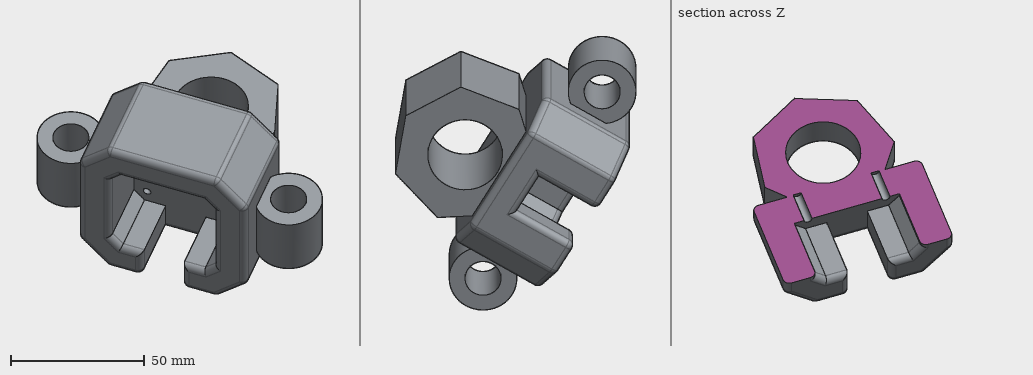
import cadquery as cq
import math

body_size = 67.0
body_depth = 38.0
body_corner = 11.7
edge_radius = 2.6
tolerance = 0.0001

pocket_size = 41.5
pocket_corner = 4.3
pocket_depth = 25.5
slot_width = 16.1

screw_diameter = 3.0
screw_spacing = 31.0

lug_diameter = 25.4
lug_height = 25.4
lug_bore = 13.5
lug_span = 112.5
lug_center_z = -1.1

clamp_sides = 7
clamp_radius = 27.2
clamp_first_angle = -60.0
clamp_height = 38.1
clamp_bore = 28.0
clamp_offset = 14.9
clamp_center_z = -8.7

front_y = -body_depth / 2
rear_y = body_depth / 2
floor_y = front_y + pocket_depth


def cut_corner_block(size, corner, depth):
    """Square block with four cut corners, running from the front face towards +Y."""
    block = cq.Workplane("XY").box(size, depth, size).edges("|Y").chamfer(corner)
    return block.translate((0, front_y + depth / 2, 0))


def upright_cylinder(diameter, height, x, y, z):
    """Cylinder along Z, centred on the given point."""
    return cq.Workplane("XY", origin=(x, y, z - height / 2)).circle(diameter / 2).extrude(height)


def make_housing():
    block = cut_corner_block(body_size, body_corner, body_depth)
    pocket = cut_corner_block(pocket_size, pocket_corner, pocket_depth)
    slot = (
        cq.Workplane("XY")
        .box(slot_width, pocket_depth, body_size / 2, centered=(True, False, False))
        .translate((0, front_y, -body_size / 2))
    )
    opened = block.cut(pocket).cut(slot)

    ridge_centers = [ridge.Center() for ridge in block.edges("|Y").vals()]

    def is_outer(edge):
        center = edge.Center()
        on_end = any(abs(center.y - y) < tolerance for y in (front_y, rear_y))
        on_bottom = abs(center.z + body_size / 2) < tolerance
        on_ridge = any((center - ridge).Length < tolerance for ridge in ridge_centers)
        return on_end or on_bottom or on_ridge

    outer_edges = [edge for edge in opened.edges().vals() if is_outer(edge)]
    rounded = opened.newObject(outer_edges).fillet(edge_radius)

    screws = (
        cq.Workplane("XZ", origin=(0, floor_y, 0))
        .rect(screw_spacing, screw_spacing, forConstruction=True)
        .vertices()
        .circle(screw_diameter / 2)
        .extrude(-(rear_y - floor_y))
    )
    return rounded.cut(screws)


def make_lug(side):
    x = side * (lug_span - lug_diameter) / 2
    lug = upright_cylinder(lug_diameter, lug_height, x, 0, lug_center_z)
    return lug.cut(upright_cylinder(lug_bore, lug_height, x, 0, lug_center_z))


def make_clamp():
    center_y = rear_y + clamp_offset
    angles = [math.radians(clamp_first_angle + i * 360 / clamp_sides) for i in range(clamp_sides)]
    corners = [(clamp_radius * math.cos(a), clamp_radius * math.sin(a)) for a in angles]
    prism = (
        cq.Workplane("XY", origin=(0, center_y, clamp_center_z - clamp_height / 2))
        .polyline(corners)
        .close()
        .extrude(clamp_height)
    )
    behind_housing = (
        cq.Workplane("XY")
        .box(body_size, 2 * clamp_radius, body_size, centered=(True, False, True))
        .translate((0, rear_y, clamp_center_z))
    )
    block = prism.intersect(behind_housing)
    return block.cut(upright_cylinder(clamp_bore, clamp_height, 0, center_y, clamp_center_z))


result = make_housing().union(make_clamp())
for side in (-1, 1):
    result = result.union(make_lug(side))